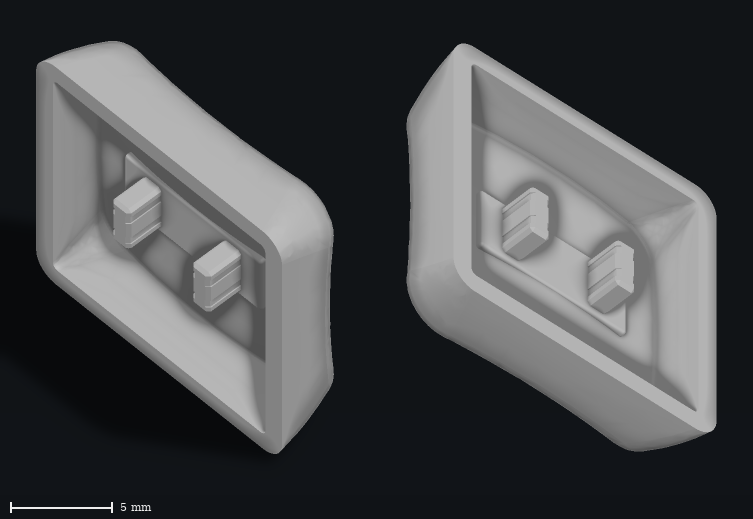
import cadquery as cq

rim_size = (17.45, 16.45)

block_depth = 4.71
block_back_inset = (0.49, 0.82)
block_corner_radii = (1.4, 3.09)
dish_radius = 45.37
dish_low = 3.56
back_edge_fillet = 1.17

opening_size = (15.08, 14.2)
cavity_depth = 3.84
cavity_back_inset = (0.35, 0.58)
cavity_corner_radii = (0.35, 2.0)
floor_low = 2.35
floor_radius = dish_radius + dish_low - floor_low
floor_fillet = 0.2

plate_length = 9.7
plate_width = 3.73
plate_face = 2.27
plate_fillet = 0.2

prong_spacing = 5.67
prong_thickness = 1.25
prong_width = 3.0
prong_front = 0.03
prong_chamfer = 0.2
groove_offset = 0.77
groove_width = 0.5
groove_depth = 0.07

root_depth = (floor_low + dish_low) / 2


def dished_block(depth, front_size, back_inset, corner_radii, low_point, ball_radius, edge_fillet):
    """Block with curved walls and a back hollowed by a ball, its back edge filleted.

    The walls leave y = 0 square to it and have moved in by back_inset per side at full depth.
    low_point is the depth of the hollow on the part axis.
    """
    front_radius, back_radius = corner_radii
    sections = []
    for travel in (0, 0.5, 1):
        width, tall = (size - 2 * inset * travel**2 for size, inset in zip(front_size, back_inset))
        corner_radius = front_radius + (back_radius - front_radius) * travel
        section = cq.Sketch().rect(width, tall).vertices().fillet(corner_radius)
        sections.append(section.moved(cq.Location(cq.Vector(0, 0, -travel * depth))))
    block = cq.Workplane("XZ").placeSketch(*sections).loft()
    ball = cq.Workplane().sphere(ball_radius).translate((0, low_point + ball_radius, 0))
    return block.cut(ball).faces("%SPHERE").edges().fillet(edge_fillet)


def bar(front, length, width):
    """Box centred on the part axis, from y = front back into the wall."""
    return cq.Workplane("XZ", origin=(0, front, 0)).rect(length, width).extrude(front - root_depth)


def make_plate():
    plate = bar(plate_face, plate_length, plate_width)
    return plate.edges("|Y or <Y").fillet(plate_fillet)


def chamfered_bar(thickness):
    """Prong bar of the given thickness without grooves."""
    return bar(prong_front, thickness, prong_width).edges("|Y or <Y").chamfer(prong_chamfer)


def make_prong():
    """Prong with two lengthwise grooves per side; the front chamfer follows the grooves."""
    groove_bands = cq.Workplane("XZ").pushPoints([(0, -groove_offset), (0, groove_offset)])
    groove_bands = groove_bands.rect(prong_thickness, groove_width).extrude(-root_depth)
    groove_floors = chamfered_bar(prong_thickness - 2 * groove_depth)
    return chamfered_bar(prong_thickness).cut(groove_bands).union(groove_floors)


shell = dished_block(
    block_depth, rim_size, block_back_inset, block_corner_radii,
    dish_low, dish_radius, back_edge_fillet,
)
cavity = dished_block(
    cavity_depth, opening_size, cavity_back_inset, cavity_corner_radii,
    floor_low, floor_radius, floor_fillet,
)

result = shell.cut(cavity).union(make_plate())
prong = make_prong()
for side in (-1, 1):
    result = result.union(prong.translate((side * prong_spacing / 2, 0, 0)))